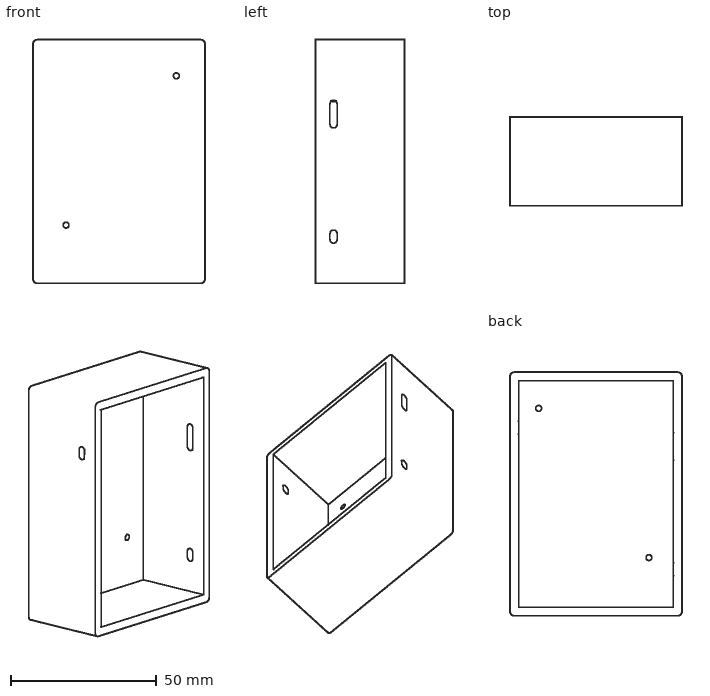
import cadquery as cq

width = 59.0
depth = 30.5
height = 83.6
corner_radius = 1.6

wall = 3.0

slot_width = 2.4
slot_inset = 6.2
long_slot_length = 9.45
long_slot_height = 58.0
short_slot_length = 4.5
short_slot_height = 16.05

far_slot_bottom = 62.3
far_slot_height = far_slot_bottom + short_slot_length / 2

hole_diameter = 2.0
hole_skin = 0.3
hole_spots = [(11.4, 20.0), (49.15, 71.1)]


def hollow_box():
    """Box with four corners rounded along Y, hollow and open toward +Y."""
    block = cq.Workplane("XY").box(width, depth, height).edges("|Y").fillet(corner_radius)
    cavity = (
        cq.Workplane("XY")
        .box(width - 2 * wall, depth, height - 2 * wall)
        .translate((0, wall, 0))
    )
    return block.cut(cavity)


def wall_slot(wall_start, center_height, length):
    """Cutter for a vertical slot through the side wall that begins at X = wall_start."""
    center = (wall_start, depth / 2 - slot_inset, center_height - height / 2)
    return cq.Workplane("YZ", origin=center).slot2D(length, slot_width, 90).extrude(wall)


def front_hole(x, z):
    """Cutter for a blind hole along Y, from the skin to the inner face of the front wall."""
    end = (x - width / 2, -depth / 2 + hole_skin, z - height / 2)
    return cq.Workplane("XZ", origin=end).circle(hole_diameter / 2).extrude(hole_skin - wall)


left_wall_start = -width / 2
right_wall_start = width / 2 - wall

result = hollow_box()
result = result.cut(wall_slot(left_wall_start, long_slot_height, long_slot_length))
result = result.cut(wall_slot(left_wall_start, short_slot_height, short_slot_length))
result = result.cut(wall_slot(right_wall_start, far_slot_height, short_slot_length))
for hole_x, hole_z in hole_spots:
    result = result.cut(front_hole(hole_x, hole_z))